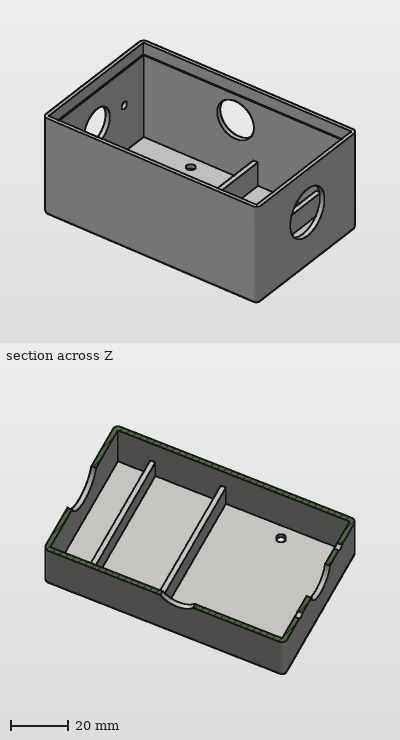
import cadquery as cq

length = 93.6
width = 58.6
height = 41.8
wall = 2.0
edge_radius = 2.0

rim_thickness = 1.5
rebate_depth = 5.0

rib_thickness = 2.0
ribs = [(49.8, 10.0), (77.1, 8.5)]

left_hole_height = 21.8
right_hole_height = 23.5
left_hole_diameter = 15.0
right_hole_diameter = 20.0
screw_hole_diameter = 3.0
screw_hole_spacing = 32.0
back_hole_diameter = 16.0
back_hole_from_left = 41.9
back_hole_height = 25.9
floor_hole_diameter = 3.5
floor_hole_from_left = 26.1
floor_hole_spacing = 44.9

left_end = -length / 2
inner_length = length - 2 * wall
inner_width = width - 2 * wall
cutter_length = 3 * wall


def block(size_x, size_y, size_z, bottom, center_x=0):
    """Box centred on Y = 0, standing on the given height."""
    solid = cq.Workplane("XY").box(size_x, size_y, size_z, centered=(True, True, False))
    return solid.translate((center_x, 0, bottom))


def wall_cutter(diameter, center, direction):
    """Cylinder that passes through one wall, centred on the wall's middle."""
    axis = cq.Vector(*direction)
    start = cq.Vector(*center) - axis * (cutter_length / 2)
    return cq.Workplane(cq.Solid.makeCylinder(diameter / 2, cutter_length, start, axis))


result = block(length, width, height, 0).edges("|Z or <Z").fillet(edge_radius)
result = result.cut(block(inner_length, inner_width, height, wall))
result = result.cut(
    block(length - 2 * rim_thickness, width - 2 * rim_thickness, rebate_depth, height - rebate_depth)
)

for rib_from_left, rib_height in ribs:
    rib_x = left_end + rib_from_left + rib_thickness / 2
    result = result.union(block(rib_thickness, inner_width, rib_height, wall, rib_x))

end_wall_x = (length - wall) / 2
result = result.cut(wall_cutter(left_hole_diameter, (-end_wall_x, 0, left_hole_height), (1, 0, 0)))
result = result.cut(wall_cutter(right_hole_diameter, (end_wall_x, 0, right_hole_height), (1, 0, 0)))

back_hole_center = (left_end + back_hole_from_left, (width - wall) / 2, back_hole_height)
result = result.cut(wall_cutter(back_hole_diameter, back_hole_center, (0, 1, 0)))

for side in (-1, 1):
    screw_center = (-end_wall_x, side * screw_hole_spacing / 2, left_hole_height)
    result = result.cut(wall_cutter(screw_hole_diameter, screw_center, (1, 0, 0)))
    floor_center = (left_end + floor_hole_from_left, side * floor_hole_spacing / 2, wall / 2)
    result = result.cut(wall_cutter(floor_hole_diameter, floor_center, (0, 0, 1)))